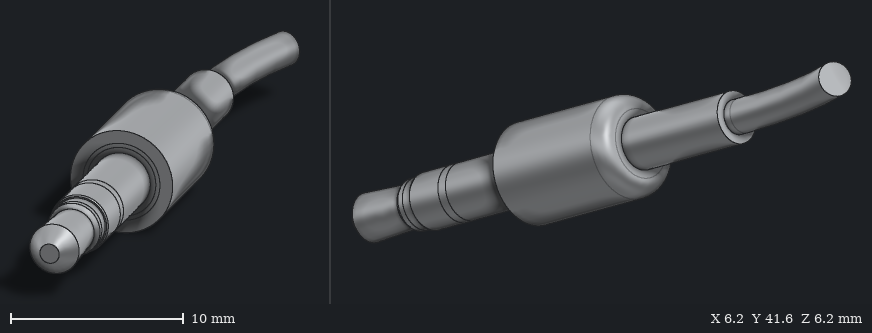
import cadquery as cq
import math


TIP_CONE_END = 0.95
NECK_Y = 4.5
TIP_COLLAR_Y = 4.83
TIP_BACK = 5.2
RING_FRONT = 5.85
RING_BACK = 8.32
SLEEVE_FRONT = 8.95
SHELL_FRONT = 14.27
SHELL_BACK = 23.4
BOOT_BACK = 31.35
CABLE_BEND_Y = 31.85
TOTAL_LENGTH = 41.6

TIP_FLAT_R = 0.6
TIP_HEAD_R = 1.5
NECK_R = 1.35
TIP_COLLAR_R = 1.6
CONTACT_R = 1.75
SLEEVE_FLANGE_R = 2.1
BUSHING_R = 2.35
SHELL_DIAMETER = 6.2
SHELL_R = SHELL_DIAMETER / 2
BOOT_R = 1.6
CABLE_R = 1.05

SHELL_FILLET = 1.05
RING_CHAMFER = 0.1
SOCKET_DEPTH = 1.0
CABLE_BEND_ANGLE = 20.5


def cylinder(radius, y_start, y_end):
    """Solid cylinder on the Y axis from y_start to y_end."""
    base = cq.Plane(origin=(0, y_start, 0), xDir=(1, 0, 0), normal=(0, 1, 0))
    return cq.Workplane(base).circle(radius).extrude(y_end - y_start)


def make_tip():
    """Turned contact tip: blunt cone, tapering head, narrow neck and collar."""
    profile = [
        (0, 0),
        (TIP_FLAT_R, 0),
        (TIP_HEAD_R, TIP_CONE_END),
        (NECK_R, NECK_Y),
        (TIP_COLLAR_R, TIP_COLLAR_Y),
        (TIP_COLLAR_R, TIP_BACK),
        (0, TIP_BACK),
    ]
    return cq.Workplane("XY").polyline(profile).close().revolve(360, (0, 0), (0, 1))


def make_ring():
    """Middle contact with a small chamfer on its front rim."""
    ring = cylinder(CONTACT_R, RING_FRONT, RING_BACK)
    return ring.faces("<Y").chamfer(RING_CHAMFER)


def make_sleeve():
    """Rear contact with a flange seated flush in the front of the shell."""
    stem = cylinder(CONTACT_R, SLEEVE_FRONT, SHELL_FRONT)
    flange = cylinder(SLEEVE_FLANGE_R, SHELL_FRONT, SHELL_FRONT + SOCKET_DEPTH)
    return stem.union(flange)


def make_bushing():
    """Thin bushing between the sleeve flange and the shell."""
    socket_end = SHELL_FRONT + SOCKET_DEPTH
    outer = cylinder(BUSHING_R, SHELL_FRONT, socket_end)
    return outer.cut(cylinder(SLEEVE_FLANGE_R, SHELL_FRONT, socket_end))


def make_shell():
    """Grip with a rounded back rim, a front socket and a slim boot behind it."""
    grip = cylinder(SHELL_R, SHELL_FRONT, SHELL_BACK)
    grip = grip.faces(">Y").edges().fillet(SHELL_FILLET)
    shell = grip.union(cylinder(BOOT_R, SHELL_BACK, BOOT_BACK))
    return shell.cut(cylinder(BUSHING_R, SHELL_FRONT, SHELL_FRONT + SOCKET_DEPTH))


def make_cable():
    """Short straight cable stub followed by a tangent bend towards +X."""
    angle = math.radians(CABLE_BEND_ANGLE)
    bend_rise = TOTAL_LENGTH - CABLE_BEND_Y - CABLE_R * math.sin(angle)
    bend_radius = bend_rise / math.sin(angle)
    stub = cylinder(CABLE_R, BOOT_BACK, CABLE_BEND_Y)
    bend_plane = cq.Plane(origin=(0, CABLE_BEND_Y, 0), xDir=(1, 0, 0), normal=(0, 1, 0))
    bend = (
        cq.Workplane(bend_plane)
        .circle(CABLE_R)
        .revolve(CABLE_BEND_ANGLE, (bend_radius, 0), (bend_radius, 1))
    )
    return stub.union(bend)


tip = make_tip()
front_insulator = cylinder(TIP_COLLAR_R, TIP_BACK, RING_FRONT)
ring = make_ring()
rear_insulator = cylinder(CONTACT_R, RING_BACK, SLEEVE_FRONT)
sleeve = make_sleeve()
bushing = make_bushing()
shell = make_shell()
cable = make_cable()

result = cq.Compound.makeCompound([
    tip.val(),
    front_insulator.val(),
    ring.val(),
    rear_insulator.val(),
    sleeve.val(),
    bushing.val(),
    shell.val(),
    cable.val(),
])